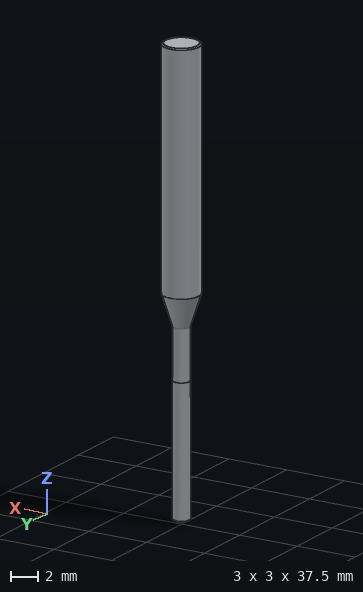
import cadquery as cq
import math

overall_length = 37.5

shank_diameter = 3.0
shank_length = 19.5
end_chamfer_width = 0.15
end_chamfer_height = 0.09
shoulder_length = 2.56
neck_diameter = 1.36

seam_diameter = 1.37

tip_diameter = 1.4
tip_length = 11.2
point_angle = 118.0

shank_radius = shank_diameter / 2
neck_radius = neck_diameter / 2
seam_radius = seam_diameter / 2
tip_radius = tip_diameter / 2
point_height = tip_radius / math.tan(math.radians(point_angle / 2))
shoulder_top = overall_length - shank_length
shoulder_bottom = shoulder_top - shoulder_length


def revolve_outline(points):
    """Turn a closed outline of (radius, height) points around the Z axis."""
    return cq.Workplane("XZ").polyline(points).close().revolve(360, (0, 0, 0), (0, 1, 0))


def make_shank():
    """Shank, shoulder and neck, down to the seam."""
    return revolve_outline([
        (0, tip_length),
        (seam_radius, tip_length),
        (neck_radius, shoulder_bottom),
        (shank_radius, shoulder_top),
        (shank_radius, overall_length - end_chamfer_height),
        (shank_radius - end_chamfer_width, overall_length),
        (0, overall_length),
    ])


def make_drill_tip():
    """Drill tip with its conical point, up to the seam."""
    return revolve_outline([
        (0, 0),
        (tip_radius, point_height),
        (seam_radius, tip_length),
        (0, tip_length),
    ])


shank = make_shank()
drill_tip = make_drill_tip()

result = cq.Compound.makeCompound([shank.val(), drill_tip.val()])